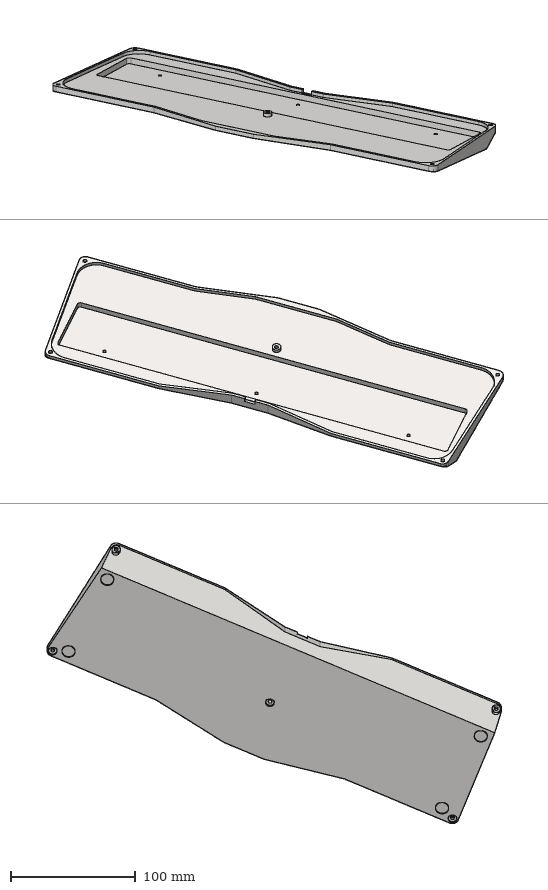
import math

import cadquery as cq

LENGTH = 362.5
WIDTH = 123.0
HEIGHT = 14.5

SIDE_TAPER = math.radians(5)
FRONT_SHOULDER_X = 83.5
FRONT_SHOULDER_Y = -49.7
BULGE_HALF_WIDTH = 17.8
BACK_SHOULDER_X = 73.5
WAIST_HALF_WIDTH = 15.5
WAIST_Y = 50.5
CORNER_DIAMETER = 10.5

FRONT_SLOPE = math.radians(6)
BACK_SLOPE = math.radians(30)
LOWEST_Y = 42.0

RIM_WIDTH = 2.0
FLOOR_DEPTH = 3.0
FLOOR_FRONT = -56.2
FLOOR_CORNER_RADIUS = 16.5

POCKET_LENGTH = 333.5
POCKET_FRONT = -3.5
POCKET_BACK = 45.5
POCKET_DEPTH = 5.0
POCKET_RADIUS = 2.5

NOTCH_WIDTH = 8.7
NOTCH_DEPTH = 3.3

SCREW_DIAMETER = 3.0
SCREW_HEAD_DIAMETER = 7.0
CORNER_SEAT_DEPTH = 3.5
CORNER_SCREWS = [(176.5, -45.0), (168.0, 57.3)]
BOSS_DIAMETER = 7.0
BOSS_Y = -11.2
BOSS_SEAT_DEPTH = 1.8

PIN_HOLE_DIAMETER = 2.5
PIN_HOLE_DEPTH = 3.0
PIN_HOLE_SPACING = 130.2
PIN_HOLE_Y = 34.8

FOOT_DIAMETER = 10.5
FOOT_DEPTH = 1.0
FOOT_X = 165.0
FOOT_YS = [-40.0, 34.0]

OVERLAP = 3.5

top_z = HEIGHT / 2
bottom_z = -HEIGHT / 2
back_y = WIDTH / 2
front_y = -WIDTH / 2
floor_z = top_z - FLOOR_DEPTH
pocket_z = floor_z - POCKET_DEPTH

corner_radius = CORNER_DIAMETER / 2
corner_centre_x = LENGTH / 2 - corner_radius
front_corner_x = corner_centre_x + corner_radius * (1 + math.sin(SIDE_TAPER)) / math.cos(SIDE_TAPER)
back_corner_x = front_corner_x - (back_y - FRONT_SHOULDER_Y) * math.tan(SIDE_TAPER)


def front_slope_z(y):
    """Height of the long front slope of the underside."""
    return bottom_z + (LOWEST_Y - y) * math.tan(FRONT_SLOPE)


def outline():
    """Outer contour with sharp corners, symmetric about the YZ plane."""
    right_half = [
        (BULGE_HALF_WIDTH, front_y),
        (FRONT_SHOULDER_X, FRONT_SHOULDER_Y),
        (front_corner_x, FRONT_SHOULDER_Y),
        (back_corner_x, back_y),
        (BACK_SHOULDER_X, back_y),
        (WAIST_HALF_WIDTH, WAIST_Y),
    ]
    left_half = [(-x, y) for x, y in reversed(right_half)]
    return cq.Workplane("XY").polyline(right_half + left_half).close()


def round_end_corners(body, radius):
    """Round the upright edges at the four end corners, which lie outside the shoulders."""
    outside_shoulders = (FRONT_SHOULDER_X + back_corner_x) / 2
    corners = body.edges("|Z").filter(lambda edge: abs(edge.Center().x) > outside_shoulders)
    return corners.fillet(radius)


def make_wedge():
    block = round_end_corners(outline().extrude(HEIGHT), corner_radius).translate((0, 0, bottom_z))
    back_edge_z = bottom_z + (back_y - LOWEST_Y) * math.tan(BACK_SLOPE)
    profile = [
        (front_y, top_z),
        (front_y, front_slope_z(front_y)),
        (LOWEST_Y, bottom_z),
        (back_y, back_edge_z),
        (back_y, top_z),
    ]
    side_profile = cq.Workplane("YZ").polyline(profile).close().extrude(LENGTH, both=True)
    return block.intersect(side_profile)


def make_floor_recess():
    """Space inside the rim, cut off straight at the front of the bulge."""
    inner_outline = outline().offset2D(-RIM_WIDTH, "intersection")
    recess = round_end_corners(inner_outline.extrude(FLOOR_DEPTH + OVERLAP), FLOOR_CORNER_RADIUS)
    front_strip = cq.Workplane("XY").box(LENGTH, FLOOR_FRONT - front_y, HEIGHT, (True, False, True))
    return recess.cut(front_strip.translate((0, front_y, 0))).translate((0, 0, floor_z))


def make_pocket():
    size = (POCKET_LENGTH, POCKET_BACK - POCKET_FRONT, POCKET_DEPTH + OVERLAP)
    pocket = cq.Workplane("XY").box(*size, (True, False, False))
    return pocket.edges("|Z").fillet(POCKET_RADIUS).translate((0, POCKET_FRONT, pocket_z))


def make_notch():
    """Cutter across the back rim, ending at its inner face."""
    size = (NOTCH_WIDTH, RIM_WIDTH + OVERLAP, NOTCH_DEPTH + OVERLAP)
    notch = cq.Workplane("XY").box(*size, (True, False, False))
    return notch.translate((0, WAIST_Y - RIM_WIDTH, top_z - NOTCH_DEPTH))


def upright_cylinder(diameter, x, y, low_z, high_z):
    return cq.Workplane("XY", origin=(x, y, low_z)).circle(diameter / 2).extrude(high_z - low_z)


def slope_cylinder(diameter, x, y, height):
    """Cylinder square to the front slope, reaching to the given height above it."""
    axis = cq.Vector(0, math.sin(FRONT_SLOPE), math.cos(FRONT_SLOPE))
    start = cq.Vector(x, y, front_slope_z(y)) - axis * OVERLAP
    return cq.Workplane(cq.Solid.makeCylinder(diameter / 2, height + OVERLAP, start, axis))


result = make_wedge().cut(make_floor_recess()).cut(make_pocket()).cut(make_notch())

seat_z = top_z - CORNER_SEAT_DEPTH
for side in (-1, 1):
    for x, y in CORNER_SCREWS:
        result = result.cut(upright_cylinder(SCREW_DIAMETER, side * x, y, bottom_z, top_z))
        result = result.cut(upright_cylinder(SCREW_HEAD_DIAMETER, side * x, y, bottom_z, seat_z))

result = result.union(upright_cylinder(BOSS_DIAMETER, 0, BOSS_Y, pocket_z, top_z))
screw_bottom_y = BOSS_Y - (floor_z - front_slope_z(BOSS_Y)) * math.tan(FRONT_SLOPE)
result = result.cut(slope_cylinder(SCREW_DIAMETER, 0, screw_bottom_y, HEIGHT))
result = result.cut(slope_cylinder(SCREW_HEAD_DIAMETER, 0, screw_bottom_y, BOSS_SEAT_DEPTH))

pin_bottom_z = pocket_z - PIN_HOLE_DEPTH
for x in (-PIN_HOLE_SPACING, 0, PIN_HOLE_SPACING):
    result = result.cut(upright_cylinder(PIN_HOLE_DIAMETER, x, PIN_HOLE_Y, pin_bottom_z, pocket_z))

for x in (-FOOT_X, FOOT_X):
    for y in FOOT_YS:
        result = result.cut(slope_cylinder(FOOT_DIAMETER, x, y, FOOT_DEPTH))